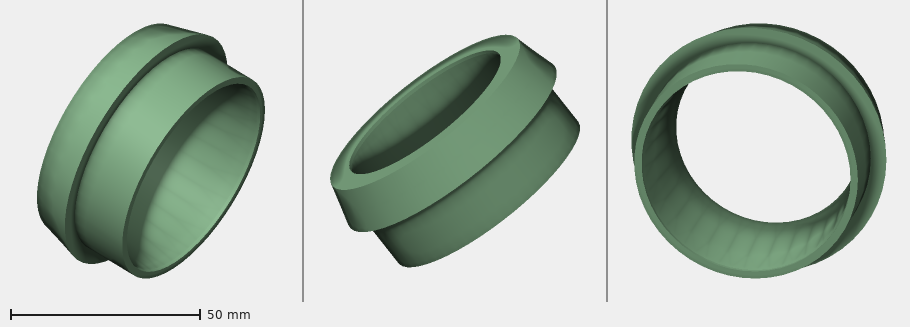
import cadquery as cq
import math

total_length = 28.0
collar_length = 12.0
collar_radius = 69 / 2
collar_taper = 15
spigot_radius = 60.5 / 2

collar_bore_radius = 49.95 / 2
spigot_bore_radius = 56.5 / 2
land_length = 1.0

face_radius = collar_radius - collar_length * math.tan(math.radians(collar_taper))

section = (
    cq.Workplane("XY")
    .moveTo(0, collar_bore_radius)
    .lineTo(0, face_radius)
    .lineTo(collar_length, collar_radius)
    .lineTo(collar_length, spigot_radius)
    .lineTo(total_length, spigot_radius)
    .lineTo(total_length, spigot_bore_radius)
    .lineTo(total_length - land_length, spigot_bore_radius)
    .lineTo(land_length, collar_bore_radius)
    .close()
)

result = section.revolve(360, (0, 0, 0), (1, 0, 0))